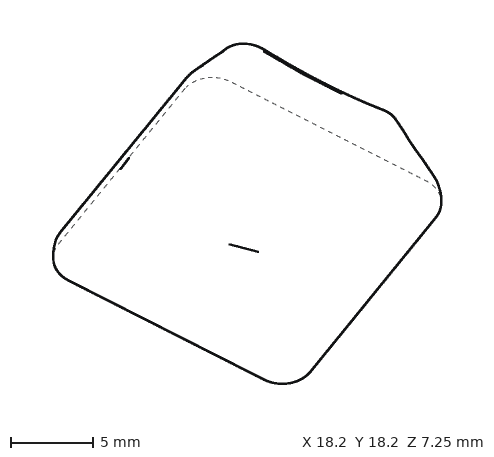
import cadquery as cq
import math

base_size = 18.16
skirt_height = 1.02

tilt = 5.6
upper_plane_height = 7.4
upper_half_width = 5.75
upper_front = -5.23
upper_back = 8.57

dish_front_radius = 15.44
dish_back_radius = 24.52
dish_front_bottom = 6.68
dish_back_bottom = 5.25

outer_radius = 2.03
rim_radius = 0.27

tilt_angle = math.radians(tilt)


def make_skirt():
    return cq.Workplane("XY").rect(base_size, base_size).extrude(skirt_height)


def make_body():
    center_y = (upper_front + upper_back) / 2
    center_z = upper_plane_height - center_y * math.tan(tilt_angle)
    upper_depth = (upper_back - upper_front) / math.cos(tilt_angle)
    lower_place = cq.Location(cq.Vector(0, 0, skirt_height))
    upper_place = cq.Location(cq.Vector(0, center_y, center_z), cq.Vector(1, 0, 0), -tilt)
    lower = cq.Sketch().rect(base_size, base_size).moved(lower_place)
    upper = cq.Sketch().rect(2 * upper_half_width, upper_depth).moved(upper_place)
    return cq.Workplane("XY").placeSketch(lower, upper).loft(ruled=True)


def dish_circle(y, radius, bottom):
    place = cq.Location(cq.Vector(0, y, bottom + radius), cq.Vector(1, 0, 0), 90)
    return cq.Sketch().circle(radius).moved(place)


def make_dish():
    front = dish_circle(-base_size / 2, dish_front_radius, dish_front_bottom)
    back = dish_circle(base_size / 2, dish_back_radius, dish_back_bottom)
    return cq.Workplane("XY").placeSketch(front, back).loft(ruled=True)


def edges_centered_between(low, high):
    """Select edges whose centers lie between two heights."""
    return cq.selectors.BoxSelector((-base_size, -base_size, low), (base_size, base_size, high))


corner_and_shoulder_edges = edges_centered_between(skirt_height / 4, dish_back_bottom)
keycap = make_skirt().union(make_body())
keycap = keycap.edges(corner_and_shoulder_edges).fillet(outer_radius)

keycap = keycap.cut(make_dish())
dish_face = cq.selectors.CenterNthSelector(cq.Vector(0, 0, 1), -1)
result = keycap.faces(dish_face).edges().fillet(rim_radius)